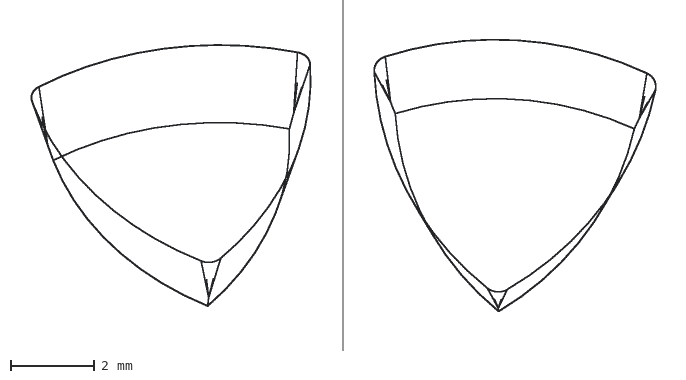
import cadquery as cq
import math

thickness = 2.38
width = 6.83
depth = 6.60
flank_radius = 8.0
corner_radius = 0.40
relief_angle = 12.0

relief_slope = math.tan(math.radians(relief_angle))

center_spacing = flank_radius - corner_radius

corner_x = width / 2 - corner_radius
base_corner_height = flank_radius - math.sqrt(center_spacing**2 - corner_x**2)
apex_corner_height = depth - corner_radius

base_flank_y = -(2 * base_corner_height + apex_corner_height) / 3
base_corner_y = base_flank_y + base_corner_height
part_axis = (0, 0)
apex_corner = (0, base_flank_y + apex_corner_height)
right_corner = (corner_x, base_corner_y)
left_corner = (-corner_x, base_corner_y)

runout_depth = corner_radius / relief_slope
runout_z = thickness - runout_depth
trim_reach = 4 * corner_radius


def direction(start, end):
    """Plan direction from one point to another, in degrees."""
    return math.degrees(math.atan2(end[1] - start[1], end[0] - start[0]))


def flank_center(start, end):
    """Arc center of the flank between two corner centers taken counterclockwise."""
    run_x = end[0] - start[0]
    run_y = end[1] - start[1]
    span = math.hypot(run_x, run_y)
    inset = math.sqrt(center_spacing**2 - (span / 2) ** 2)
    center_x = (start[0] + end[0]) / 2 - inset * run_y / span
    center_y = (start[1] + end[1]) / 2 + inset * run_x / span
    return (center_x, center_y)


def flank_cone(center):
    """Truncated cone whose surface carries one flank."""
    bottom_radius = flank_radius - thickness * relief_slope
    cone = cq.Workplane("XY").add(cq.Solid.makeCone(bottom_radius, flank_radius, thickness))
    seam_angle = direction(part_axis, center)
    return cone.rotate((0, 0, 0), (0, 0, 1), seam_angle).translate((center[0], center[1], 0))


def corner_trim(corner, center_before, center_after):
    """Waste outside the conical corner, between its tangencies with the two flanks."""
    start_angle = direction(center_before, corner)
    sweep = (direction(center_after, corner) - start_angle) % 360
    ring = (
        cq.Workplane("XZ")
        .polyline(
            [
                (0, runout_z),
                (trim_reach, runout_z),
                (trim_reach, thickness),
                (corner_radius, thickness),
            ]
        )
        .close()
        .revolve(sweep, (0, 0, 0), (0, 1, 0))
    )
    turned = ring.rotate((0, 0, 0), (0, 0, 1), start_angle)
    return turned.translate((corner[0], corner[1], 0))


base_flank = flank_center(left_corner, right_corner)
right_flank = flank_center(right_corner, apex_corner)
left_flank = flank_center(apex_corner, left_corner)

result = flank_cone(base_flank)
for center in (right_flank, left_flank):
    result = result.intersect(flank_cone(center))

for corner, center_before, center_after in (
    (right_corner, base_flank, right_flank),
    (apex_corner, right_flank, left_flank),
    (left_corner, left_flank, base_flank),
):
    result = result.cut(corner_trim(corner, center_before, center_after))

result = result.solids()